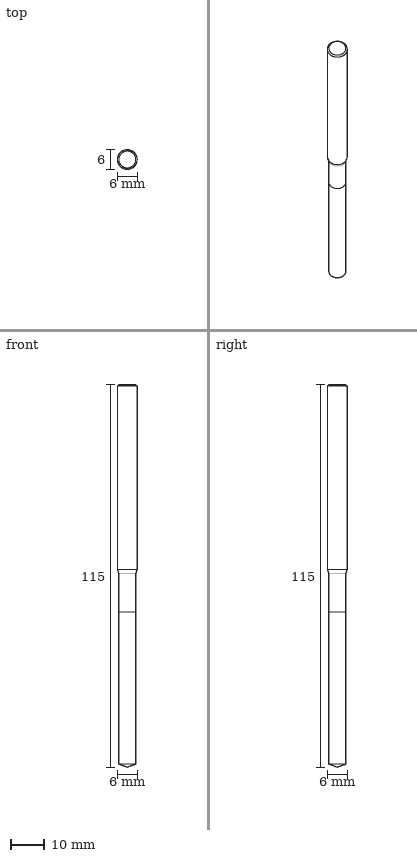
import cadquery as cq
import math

total_length = 115.0
shank_diameter = 6.0
shank_length = 55.5
shank_chamfer = 0.5
neck_diameter = 5.2
neck_taper_length = 1.3
cutting_diameter = 5.2
cutting_length = 46.7
point_angle = 140.0

shank_radius = shank_diameter / 2
neck_radius = neck_diameter / 2
cutting_radius = cutting_diameter / 2
shank_bottom = total_length - shank_length
point_height = cutting_radius / math.tan(math.radians(point_angle / 2))


def revolve_profile(points):
    """Turn a closed radius-height profile about the Z axis."""
    return cq.Workplane("XZ").polyline(points).close().revolve(360, (0, 0, 0), (0, 1, 0))


def make_shank():
    """Chamfered shank that tapers down to a narrower neck."""
    return revolve_profile([
        (0, cutting_length),
        (neck_radius, cutting_length),
        (neck_radius, shank_bottom - neck_taper_length),
        (shank_radius, shank_bottom),
        (shank_radius, total_length - shank_chamfer),
        (shank_radius - shank_chamfer, total_length),
        (0, total_length),
    ])


def make_cutting_part():
    """Plain cylinder with a conical point, butted against the neck."""
    return revolve_profile([
        (0, 0),
        (cutting_radius, point_height),
        (cutting_radius, cutting_length),
        (0, cutting_length),
    ])


shank = make_shank()
cutting_part = make_cutting_part()

result = cq.Compound.makeCompound([shank.val(), cutting_part.val()])